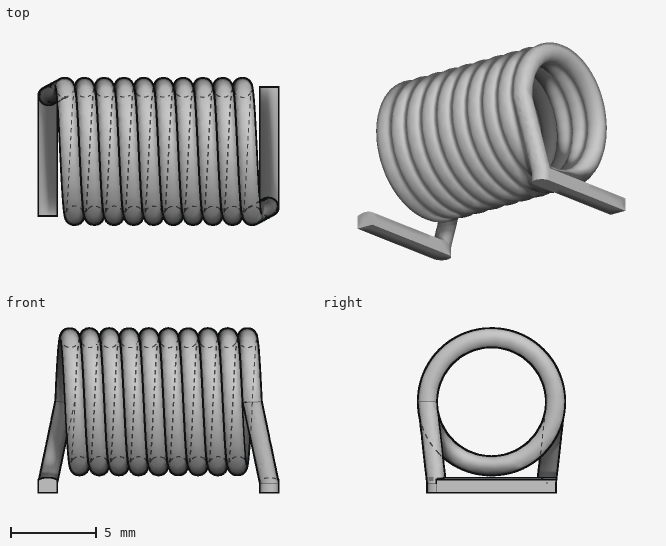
import cadquery as cq
import math

length = 14.07
height = 9.64
coil_diameter = 8.62
wire_diameter = 1.13
pitch = 1.15
turns = 9.5
foot_length = 7.55
foot_base_height = 0.58
cap_edge_height = 0.77
cap_crown_height = 0.9

wire_radius = wire_diameter / 2
mean_radius = (coil_diameter - wire_diameter) / 2
axis_z = height - coil_diameter / 2
coil_length = pitch * turns
foot_x = -length / 2 + wire_radius
joint_y = foot_length / 2 - wire_radius
foot_end_y = -foot_length / 2

wire_start = cq.Vector(-coil_length / 2, mean_radius, axis_z)
wire_direction = cq.Vector(pitch, 0, 2 * math.pi * mean_radius).normalized()


def make_coil():
    """Sweep the wire along a right-handed helix about X."""
    path = cq.Wire.makeHelix(pitch, coil_length, mean_radius)
    start_plane = cq.Plane(
        origin=(mean_radius, 0, 0),
        xDir=(1, 0, 0),
        normal=(0, wire_direction.z, wire_direction.x),
    )
    coil = cq.Workplane(start_plane).circle(wire_radius).sweep(path, isFrenet=True)
    coil = coil.rotate((0, 0, 0), (1, 1, 1), 120)
    return coil.translate((-coil_length / 2, 0, axis_z))


def make_leg():
    """Join the coil's wire end to the rounded end of the foot."""
    coil_end = cq.Wire.makeCircle(wire_radius, wire_start, wire_direction)
    foot_joint = cq.Wire.makeCircle(
        wire_radius, cq.Vector(foot_x, joint_y, foot_base_height), cq.Vector(0, 0, 1)
    )
    return cq.Workplane(cq.Solid.makeLoft([foot_joint, coil_end], True))


def make_foot():
    """Crowned bar along Y with a lower, half-round end under the leg."""
    bar = (
        cq.Workplane("XZ", origin=(foot_x, joint_y, 0))
        .moveTo(-wire_radius, 0)
        .lineTo(wire_radius, 0)
        .lineTo(wire_radius, cap_edge_height)
        .threePointArc((0, cap_crown_height), (-wire_radius, cap_edge_height))
        .close()
        .extrude(joint_y - foot_end_y)
    )
    round_end = (
        cq.Workplane("XY")
        .center(foot_x, joint_y)
        .circle(wire_radius)
        .extrude(foot_base_height)
    )
    return bar.union(round_end)


terminal = make_foot().union(make_leg())
opposite_terminal = terminal.rotate((0, 0, 0), (0, 0, 1), 180)

result = make_coil().union(terminal).union(opposite_terminal)